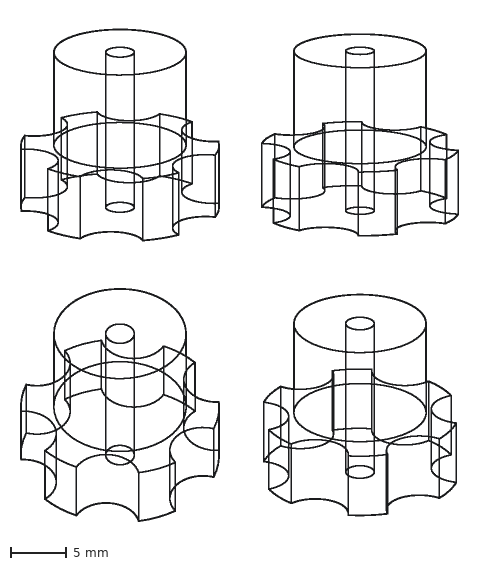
import cadquery as cq


grip_diameter = 18.0
grip_height = 6.0

scallop_count = 6
scallop_radius = 3.0
scallop_circle_radius = 9.5

hub_diameter = 12.0
hub_height = 9.0
bore_diameter = 2.6

total_height = grip_height + hub_height


def make_grip():
    """Disc with concave scallops cut through its rim, standing on Z = 0."""
    disc = cq.Workplane("XY").circle(grip_diameter / 2).extrude(grip_height)
    scallops = (
        cq.Workplane("XY")
        .polarArray(scallop_circle_radius, 0, 360, scallop_count)
        .circle(scallop_radius)
        .extrude(grip_height)
    )
    return disc.cut(scallops)


def make_hub():
    """Round hub rising from the top face of the grip."""
    return (
        cq.Workplane("XY")
        .workplane(offset=grip_height)
        .circle(hub_diameter / 2)
        .extrude(hub_height)
    )


def make_bore():
    """Cylinder that opens the axial hole through the whole part."""
    return cq.Workplane("XY").circle(bore_diameter / 2).extrude(total_height)


result = make_grip().union(make_hub()).cut(make_bore())